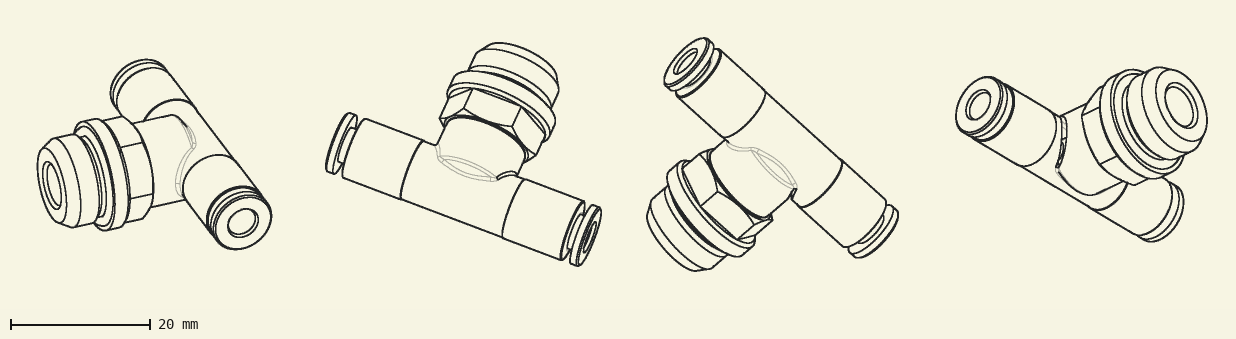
import cadquery as cq
import math


run_length = 39.2
run_end = run_length / 2
body_radius = 4.45
sleeve_radius = 4.55
sleeve_start = 7.9
sleeve_step = sleeve_radius - body_radius
sleeve_face = 17.2
sleeve_rim_radius = 4.35
sleeve_rim = 17.0
sleeve_shoulder = 16.9
face_radius = 2.98
neck_radius = 2.63
collar_radius = 4.5
collar_width = 1.2
collar_chamfer = 0.25

run_bore_radius = 1.5
socket_radius = 2.1
mouth_radius = 2.35
mouth_chamfer = 0.5
socket_floor = sleeve_start
socket_floor_angle = 30.0

stub_radius = 6.15
stub_end = 8.3
stub_crown = 1.5
crown_slope = 33.0
blend_radius = 0.5
selection_margin = 0.05

relief_radius = 6.08
hex_start = 8.45
hex_flats = 13.0
hex_chamfer_slope = 30.0
flange_start = 12.5
flange_radius = 8.0
flange_chamfer = 0.5
flange_end = 15.05
ring_radius = 7.3
groove_radius = 5.88
ring_section = (ring_radius - groove_radius) / 2
groove_end = 16.23
thread_start = 16.9
thread_radius = 6.55
thread_end = 19.75
tip_radius = 5.5
stud_end = 21.52

stud_bore_radius = 3.0
stud_bore_chamfer = 0.47


def turned_about_x(points):
    """Revolve (x, radius) points about the X axis."""
    return cq.Workplane("XY").polyline(points).close().revolve(360, (0, 0, 0), (1, 0, 0))


def turned_about_y(points):
    """Revolve (distance along -Y, radius) points about the Y axis."""
    profile = [(radius, -distance) for distance, radius in points]
    return cq.Workplane("XY").polyline(profile).close().revolve(360, (0, 0, 0), (0, 1, 0))


def mirrored_pair(solid):
    return solid.union(solid.mirror("YZ"))


def box_around(half_x, y_low, y_high, half_z):
    """Select what lies wholly inside a box centred on X and Z, grown by a small margin."""
    margin = selection_margin
    return cq.selectors.BoxSelector(
        (-half_x - margin, y_low - margin, -half_z - margin),
        (half_x + margin, y_high + margin, half_z + margin),
        boundingbox=True,
    )


def make_core():
    """Plain run body joined to the cone-crowned stub, with the edges between them blended."""
    body = cq.Workplane("YZ").circle(body_radius).extrude(sleeve_start + sleeve_step, both=True)
    crown_top = stub_crown - stub_radius * math.tan(math.radians(crown_slope))
    stub = turned_about_y([
        (crown_top, 0),
        (stub_crown, stub_radius),
        (stub_end, stub_radius),
        (stub_end, 0),
    ])
    crown_edge = box_around(stub_radius, -stub_crown, -stub_crown, stub_radius)
    stub = stub.edges(crown_edge).fillet(blend_radius)
    core = body.union(stub)
    junction = box_around(sleeve_start, -body_radius, body_radius, body_radius)
    return core.edges(junction).edges("not %LINE").fillet(blend_radius)


def make_tube_end():
    """Sleeve, neck and release collar on the +X side."""
    return turned_about_x([
        (sleeve_start, 0),
        (sleeve_start - sleeve_step, body_radius),
        (sleeve_start, sleeve_radius),
        (sleeve_shoulder, sleeve_radius),
        (sleeve_rim, sleeve_rim_radius),
        (sleeve_face, face_radius),
        (sleeve_face, neck_radius),
        (run_end - collar_width, neck_radius),
        (run_end - collar_width, collar_radius),
        (run_end - collar_chamfer, collar_radius),
        (run_end, collar_radius - collar_chamfer),
        (run_end, 0),
    ])


def make_tube_bore():
    """Tube socket on the +X side, its conical floor and the bore that meets the branch."""
    floor_depth = (socket_radius - run_bore_radius) * math.tan(math.radians(socket_floor_angle))
    return turned_about_x([
        (0, 0),
        (0, run_bore_radius),
        (socket_floor, run_bore_radius),
        (socket_floor + floor_depth, socket_radius),
        (run_end - mouth_chamfer, socket_radius),
        (run_end, mouth_radius),
        (run_end, 0),
    ])


def make_hex():
    """Hexagon with flats facing +Z and -Z, chamfered towards the run."""
    corner_radius = hex_flats / math.sqrt(3)
    prism = (
        cq.Workplane("XZ", origin=(0, -hex_start, 0))
        .polygon(6, 2 * corner_radius)
        .extrude(flange_start - hex_start)
    )
    slope = math.tan(math.radians(hex_chamfer_slope))
    chamfer_depth = (corner_radius - hex_flats / 2) * slope
    envelope = turned_about_y([
        (hex_start, 0),
        (hex_start, hex_flats / 2),
        (hex_start + chamfer_depth, corner_radius),
        (flange_start, corner_radius),
        (flange_start, 0),
    ])
    return prism.intersect(envelope)


def make_stud():
    """Relief, flange, groove and thread, all turned about Y."""
    return turned_about_y([
        (stub_end, 0),
        (stub_end, relief_radius),
        (flange_start, relief_radius),
        (flange_start, flange_radius - flange_chamfer),
        (flange_start + flange_chamfer, flange_radius),
        (flange_end, flange_radius),
        (flange_end, groove_radius),
        (groove_end, groove_radius),
        (thread_start, thread_radius),
        (thread_end, thread_radius),
        (stud_end, tip_radius),
        (stud_end, 0),
    ])


def make_seal_ring():
    """O-ring standing half proud of the flange and resting on the groove floor."""
    ring_centre = ring_radius - ring_section
    return (
        cq.Workplane("XY")
        .moveTo(ring_radius, -flange_end)
        .threePointArc((ring_centre, -flange_end - ring_section), (groove_radius, -flange_end))
        .close()
        .revolve(360, (0, 0, 0), (0, 1, 0))
    )


def make_stud_bore():
    """Flat-bottomed bore that ends at the run axis."""
    return turned_about_y([
        (0, 0),
        (0, stud_bore_radius),
        (stud_end - stud_bore_chamfer, stud_bore_radius),
        (stud_end, stud_bore_radius + stud_bore_chamfer),
        (stud_end, 0),
    ])


solid = make_core().union(mirrored_pair(make_tube_end()))
for piece in (make_hex(), make_stud(), make_seal_ring()):
    solid = solid.union(piece)
result = solid.cut(mirrored_pair(make_tube_bore())).cut(make_stud_bore())